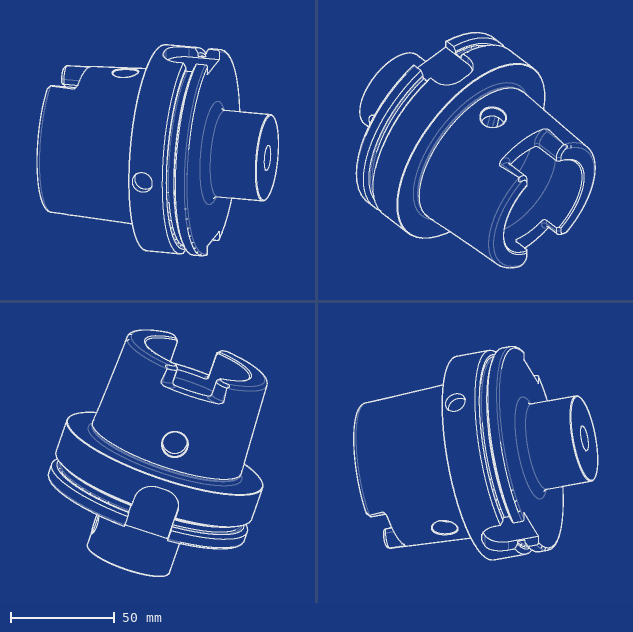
import cadquery as cq
import math


overall_length = 105.9
shank_length = 50.0
flange_width = 28.9
spigot_end = overall_length - shank_length

gauge_radius = 37.5
gauge_distance = 12.5
taper_slope = 1 / 20
taper_end = 2.9
relief_start = 1.9
relief_radius = 37.7
relief_fillet = 1.5
shank_edge_fillet = 1.7

flange_radius = 50.0
flange_front_chamfer = 0.3
flange_rear_fillet = 1.1
groove_center = 20.1
groove_half_width = 1.9
groove_mouth_half_width = 3.3
groove_radius = 46.0
groove_fillet = 0.6
groove_flank_angle = 60
groove_flank_run = groove_mouth_half_width - groove_half_width
groove_flank_depth = groove_flank_run * math.tan(math.radians(groove_flank_angle))

spigot_radius = 21.0
spigot_fillet = 4.0
spigot_chamfer = 0.4

slot_half_width = 10.0
slot_flat_height = 32.3
slot_side_radius = 5.3
slot_root_fillet = 1.7
slot_edge_chamfer = 1.6
upper_slot_depth = 14.9
lower_slot_depth = 10.1

cavity_radius = 26.5
cavity_chamfer = 0.7
cavity_flare_start = -31.0
cavity_flare_end = -11.1
undercut_radius = 31.5
undercut_end = 7.9
cavity_floor_x = 12.2
cavity_floor_fillet = 1.8
seat_radius = 11.3
seat_chamfer = 0.7
seat_depth = 12.7
bore_radius = 6.0

cross_hole_x = -15.0
cross_hole_radius = 6.0
cross_hole_chamfer = 0.4

keyway_half_width = 11.0
keyway_start = 4.7
keyway_corner_radius = 9.0
keyway_floor = 44.0
blind_hole_x = 6.9
blind_hole_radius = 5.0
blind_hole_depth = 4.6

screw_x = 43.1
screw_radius = 6.0

pick_margin = 0.1


def taper_radius(x):
    """Radius of the shank taper at position x."""
    return gauge_radius + taper_slope * (x + gauge_distance)


def arc_middle(center_x, center_r, radius, degrees):
    """Point on a profile arc at the given angle."""
    angle = math.radians(degrees)
    return center_x + radius * math.cos(angle), center_r + radius * math.sin(angle)


def revolve_about_x(profile):
    return profile.close().revolve(360, (0, 0, 0), (1, 0, 0))


def turned_over(shape):
    """Shape turned half way round the X axis."""
    return shape.rotate((0, 0, 0), (1, 0, 0), 180)


def cylinder_x(start, end, radius):
    return cq.Workplane("YZ", origin=(start, 0, 0)).circle(radius).extrude(end - start)


def outer_body():
    """Solid of revolution with shank, flange, groove and spigot."""
    wall_left = groove_center - groove_half_width
    wall_right = groove_center + groove_half_width
    flank_radius = flange_radius - groove_flank_depth
    fillet_top = groove_radius + groove_fillet
    rear_center = (flange_width - flange_rear_fillet, flange_radius - flange_rear_fillet)
    root_center = (flange_width + spigot_fillet, spigot_radius + spigot_fillet)
    mouth_x = -shank_length + shank_edge_fillet
    mouth_center = (mouth_x, taper_radius(mouth_x) - shank_edge_fillet)
    relief_center = (-relief_fillet, relief_radius + relief_fillet)
    left_center = (wall_left + groove_fillet, fillet_top)
    right_center = (wall_right - groove_fillet, fillet_top)
    profile = (
        cq.Workplane("XY")
        .moveTo(-shank_length, 0)
        .lineTo(-shank_length, mouth_center[1])
        .threePointArc(
            arc_middle(*mouth_center, shank_edge_fillet, 135),
            (mouth_center[0], mouth_center[1] + shank_edge_fillet),
        )
        .lineTo(-taper_end, taper_radius(-taper_end))
        .lineTo(-relief_start, relief_radius)
        .lineTo(-relief_fillet, relief_radius)
        .threePointArc(arc_middle(*relief_center, relief_fillet, -45), (0, relief_center[1]))
        .lineTo(0, flange_radius - flange_front_chamfer)
        .lineTo(flange_front_chamfer, flange_radius)
        .lineTo(groove_center - groove_mouth_half_width, flange_radius)
        .lineTo(wall_left, flank_radius)
        .lineTo(wall_left, fillet_top)
        .threePointArc(arc_middle(*left_center, groove_fillet, -135), (left_center[0], groove_radius))
        .lineTo(right_center[0], groove_radius)
        .threePointArc(arc_middle(*right_center, groove_fillet, -45), (wall_right, fillet_top))
        .lineTo(wall_right, flank_radius)
        .lineTo(groove_center + groove_mouth_half_width, flange_radius)
        .lineTo(rear_center[0], flange_radius)
        .threePointArc(arc_middle(*rear_center, flange_rear_fillet, 45), (flange_width, rear_center[1]))
        .lineTo(flange_width, root_center[1])
        .threePointArc(arc_middle(*root_center, spigot_fillet, -135), (root_center[0], spigot_radius))
        .lineTo(spigot_end - spigot_chamfer, spigot_radius)
        .lineTo(spigot_end, spigot_radius - spigot_chamfer)
        .lineTo(spigot_end, 0)
    )
    return revolve_about_x(profile)


def drive_slot(depth):
    """Cutter for the upper drive slot: flared sides, a filleted root and a chamfered mouth."""
    flare_half_width = slot_half_width + slot_side_radius
    reach = flange_radius
    arc_center = (flare_half_width, slot_flat_height - slot_side_radius)
    right_middle = arc_middle(*arc_center, slot_side_radius, 135)
    cutter = (
        cq.Workplane("YZ", origin=(-shank_length, 0, 0))
        .moveTo(-slot_half_width, 0)
        .lineTo(slot_half_width, 0)
        .lineTo(slot_half_width, arc_center[1])
        .threePointArc(right_middle, (flare_half_width, slot_flat_height))
        .lineTo(reach, slot_flat_height)
        .lineTo(reach, reach)
        .lineTo(-reach, reach)
        .lineTo(-reach, slot_flat_height)
        .lineTo(-flare_half_width, slot_flat_height)
        .threePointArc((-right_middle[0], right_middle[1]), (-slot_half_width, arc_center[1]))
        .close()
        .extrude(depth)
    )
    front_plate = (
        cq.Workplane("YZ", origin=(-shank_length, 0, 0))
        .rect(2 * reach, reach)
        .extrude(-slot_edge_chamfer)
        .translate((0, 0, reach / 2))
    )
    cutter = cutter.union(front_plate)
    root_edges = slot_side_edges(-shank_length + depth, reach)
    mouth_edges = slot_side_edges(-shank_length, reach)
    cutter = cutter.edges(root_edges).fillet(slot_root_fillet)
    cutter = cutter.edges(mouth_edges).chamfer(slot_edge_chamfer)
    return cutter


def slot_side_edges(x, reach):
    """Edges of a slot cutter at position x that follow the flared slot sides."""
    inset = 1.1
    return cq.selectors.BoxSelector(
        (x - pick_margin, -reach + inset, inset),
        (x + pick_margin, reach - inset, reach - inset),
    )


def shank_cavity():
    """Undercut cavity with a rounded floor, the coolant tube seat and the tool bore."""
    floor_center = (cavity_floor_x - cavity_floor_fillet, cavity_radius - cavity_floor_fillet)
    profile = (
        cq.Workplane("XY")
        .moveTo(-shank_length, 0)
        .lineTo(-shank_length, cavity_radius + cavity_chamfer)
        .lineTo(-shank_length + cavity_chamfer, cavity_radius)
        .lineTo(cavity_flare_start, cavity_radius)
        .lineTo(cavity_flare_end, undercut_radius)
        .lineTo(undercut_end, undercut_radius)
        .lineTo(undercut_end, cavity_radius)
        .lineTo(floor_center[0], cavity_radius)
        .threePointArc(
            arc_middle(*floor_center, cavity_floor_fillet, 45),
            (cavity_floor_x, floor_center[1]),
        )
        .lineTo(cavity_floor_x, 0)
    )
    cavity = revolve_about_x(profile)
    seat = cylinder_x(cavity_floor_x, cavity_floor_x + seat_depth, seat_radius)
    bore = cylinder_x(cavity_floor_x, spigot_end, bore_radius)
    return (
        cavity.union(seat)
        .union(mouth_chamfer(cavity_floor_x, seat_radius, seat_chamfer))
        .union(bore)
    )


def mouth_chamfer(x, radius, size):
    """Cutter for a 45 degree chamfer on a hole that opens toward -X."""
    profile = (
        cq.Workplane("XY")
        .moveTo(x, 0)
        .lineTo(x, radius + size)
        .lineTo(x + size, radius)
        .lineTo(x + size, 0)
    )
    return revolve_about_x(profile)


def with_cross_hole(body):
    """Body with a hole along Z through the shank, chamfered where it meets the taper."""
    hole = (
        cq.Workplane("XY", origin=(cross_hole_x, 0, -flange_radius))
        .circle(cross_hole_radius)
        .extrude(2 * flange_radius)
    )
    rim_reach = cross_hole_radius + pick_margin
    rims = cq.selectors.BoxSelector(
        (cross_hole_x - rim_reach, -rim_reach, -flange_radius),
        (cross_hole_x + rim_reach, rim_reach, flange_radius),
        boundingbox=True,
    )
    body = body.cut(hole)
    return body.edges(rims).edges("not #Y").edges("not |Z").chamfer(cross_hole_chamfer)


def keyway():
    """Cutter for the upper flange keyway, open toward +X."""
    length = flange_width - keyway_start
    return (
        cq.Workplane("XY", origin=(keyway_start + length / 2, 0, keyway_floor))
        .rect(length, 2 * keyway_half_width)
        .extrude(flange_radius - keyway_floor)
        .edges("|Z and <X")
        .fillet(keyway_corner_radius)
    )


def blind_hole():
    """Cutter for the flat-bottomed hole in the -Y side of the flange."""
    return (
        cq.Workplane("XZ", origin=(blind_hole_x, -flange_radius + blind_hole_depth, 0))
        .circle(blind_hole_radius)
        .extrude(blind_hole_depth)
    )


def screw_cylinder():
    """Radial cylinder from the edge of the tool bore to the outside of the spigot."""
    return (
        cq.Workplane("XZ", origin=(screw_x, spigot_radius, 0))
        .circle(screw_radius)
        .extrude(spigot_radius - bore_radius)
    )


def make_holder():
    body = outer_body()
    body = body.cut(drive_slot(upper_slot_depth))
    body = body.cut(turned_over(drive_slot(lower_slot_depth)))
    body = with_cross_hole(body)
    body = body.cut(shank_cavity())
    for cutter in (keyway(), turned_over(keyway())):
        body = body.cut(cutter)
    body = body.cut(blind_hole())
    return body.cut(screw_cylinder())


def make_clamping_screw():
    return screw_cylinder()


holder = make_holder()
clamping_screw = make_clamping_screw()
result = cq.Compound.makeCompound([holder.val(), clamping_screw.val()])